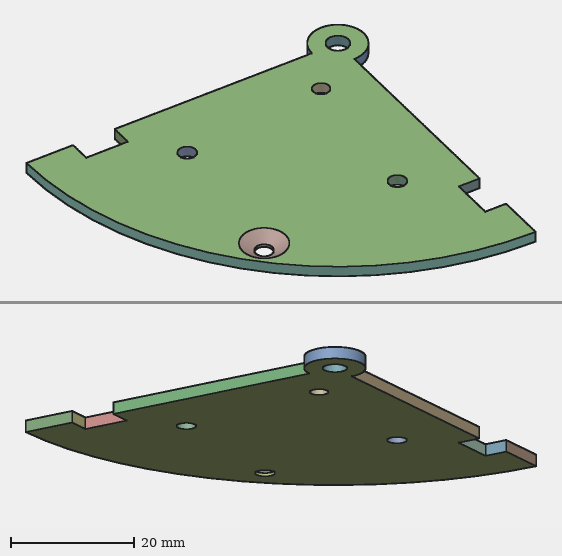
import cadquery as cq
import math

thickness = 2.0
sector_radius = 60.0
eye_radius = 5.0
pivot_hole_diameter = 4.0

notch_start = 43.0
notch_width = 8.0
notch_depth = 4.0

screw_hole_diameter = 3.2

small_hole_diameter = 3.0
small_hole_distance = 12.5
countersink_diameter = 8.2
countersink_depth = 1.45
countersunk_hole_distance = 55.0

paired_hole_distance = 34.0
paired_hole_spacing = 35.0


def on_diagonal(distance):
    """Point on the sector's bisector at the given distance from the pivot."""
    offset = distance * math.cos(math.radians(45))
    return (offset, -offset)


def make_plate():
    sector = (
        cq.Workplane("XY")
        .lineTo(sector_radius, 0)
        .threePointArc(on_diagonal(sector_radius), (0, -sector_radius))
        .close()
        .extrude(thickness)
    )
    eye = cq.Workplane("XY").circle(eye_radius).extrude(thickness)
    return sector.union(eye)


def cut_notches(plate):
    notch_end = notch_start + notch_width
    top_notch = (
        cq.Workplane("XY")
        .moveTo(notch_start, 0)
        .lineTo(notch_end, 0)
        .lineTo(notch_end, -notch_depth)
        .lineTo(notch_start, -notch_depth)
        .close()
        .extrude(thickness)
    )
    side_notch = (
        cq.Workplane("XY")
        .moveTo(0, -notch_start)
        .lineTo(notch_depth, -notch_start)
        .lineTo(notch_depth, -notch_end)
        .lineTo(0, -notch_end)
        .close()
        .extrude(thickness)
    )
    return plate.cut(top_notch).cut(side_notch)


def cut_holes(plate, points, diameter):
    holes = cq.Workplane("XY").pushPoints(points).circle(diameter / 2).extrude(thickness)
    return plate.cut(holes)


def cut_countersink(plate):
    """Conical seat in the top face, narrowing to its through hole."""
    x, y = on_diagonal(countersunk_hole_distance)
    seat = cq.Solid.makeCone(
        screw_hole_diameter / 2,
        countersink_diameter / 2,
        countersink_depth,
        pnt=cq.Vector(x, y, thickness - countersink_depth),
    )
    return plate.cut(cq.Workplane(seat))


mid_x, mid_y = on_diagonal(paired_hole_distance)
half_offset = paired_hole_spacing / 2 * math.cos(math.radians(45))
paired_hole_points = [
    (mid_x + half_offset, mid_y + half_offset),
    (mid_x - half_offset, mid_y - half_offset),
]

plate = cut_notches(make_plate())
plate = cut_holes(plate, [(0, 0)], pivot_hole_diameter)
plate = cut_holes(plate, [on_diagonal(small_hole_distance)], small_hole_diameter)
plate = cut_holes(plate, paired_hole_points, screw_hole_diameter)
plate = cut_holes(plate, [on_diagonal(countersunk_hole_distance)], screw_hole_diameter)
result = cut_countersink(plate)